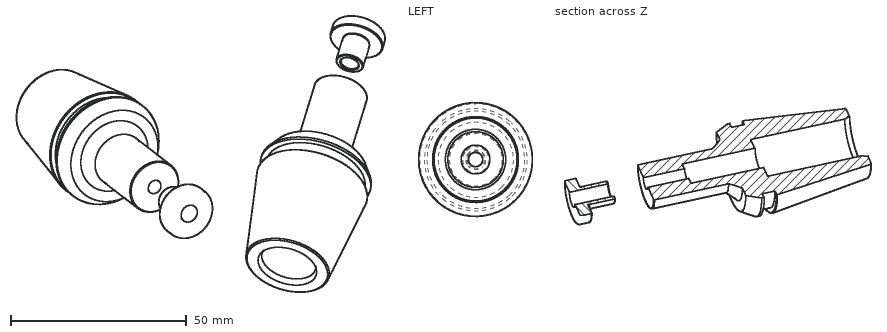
import cadquery as cq

overall_length = 85.5
edge_chamfer = 0.25

max_radius = 32.4 / 2
nose_radius = 12.2
nose_chamfer_axial = 0.3
nose_chamfer_radial = 0.4
nose_length = 29.7
groove_radius = 29.2 / 2
groove_width = 3.7
collar_land = 0.8
collar_taper_length = 4.0
collar_back_radius = 13.9
neck_length = 3.2
neck_radius = 10.7
neck_sag = 0.2
shank_radius = 15.5 / 2
housing_length = 63.6

main_bore_diameter = 15.8
mouth_diameter = 17.2
mouth_chamfer_length = 1.7
main_bore_depth = nose_length
step_bore_diameter = 8.2
step_bore_depth = 51.3
through_hole_diameter = 4.0

stem_radius = 7.95 / 2
stem_length = 7.7
relief_radius = 7.7 / 2
relief_width = 0.4
relief_shoulder_length = 0.2
flange_radius = 15.5 / 2
flange_start = 81.95
flange_front_chamfer = 0.25
flange_back_fillet = 0.8
plug_bore_diameter = 5.1
plug_mouth_chamfer = 0.25
plug_start = flange_start - relief_width - stem_length


def turn(profile):
    """Close a half profile on the X axis and revolve it."""
    return profile.close().revolve(360, (0, 0, 0), (1, 0, 0))


def bore(start, length, diameter):
    """Cylinder along X used to cut a bore."""
    return cq.Workplane("YZ").workplane(offset=start).circle(diameter / 2).extrude(length)


def make_housing_blank():
    groove_end = nose_length + groove_width
    taper_start = groove_end + collar_land
    collar_end = taper_start + collar_taper_length
    neck_end = collar_end + neck_length
    neck_middle = (
        (collar_end + neck_end) / 2,
        (neck_radius + shank_radius) / 2 - neck_sag,
    )
    profile = (
        cq.Workplane("XY")
        .moveTo(0, 0)
        .lineTo(0, nose_radius - nose_chamfer_radial)
        .lineTo(nose_chamfer_axial, nose_radius)
        .lineTo(nose_length - edge_chamfer, max_radius)
        .lineTo(nose_length, max_radius - edge_chamfer)
        .lineTo(nose_length, groove_radius)
        .lineTo(groove_end, groove_radius)
        .lineTo(groove_end, max_radius)
        .lineTo(taper_start, max_radius)
        .lineTo(collar_end, collar_back_radius)
        .lineTo(collar_end, neck_radius)
        .threePointArc(neck_middle, (neck_end, shank_radius))
        .lineTo(housing_length - edge_chamfer, shank_radius)
        .lineTo(housing_length, shank_radius - edge_chamfer)
        .lineTo(housing_length, 0)
    )
    return turn(profile)


def make_mouth_chamfer(start, outer_radius, inner_radius, length):
    """Truncated cone along X that widens the mouth of a bore."""
    profile = (
        cq.Workplane("XY")
        .moveTo(start, 0)
        .lineTo(start, outer_radius)
        .lineTo(start + length, inner_radius)
        .lineTo(start + length, 0)
    )
    return turn(profile)


def make_housing():
    mouth = make_mouth_chamfer(0, mouth_diameter / 2, main_bore_diameter / 2, mouth_chamfer_length)
    return (
        make_housing_blank()
        .cut(mouth)
        .cut(bore(0, main_bore_depth, main_bore_diameter))
        .cut(bore(0, step_bore_depth, step_bore_diameter))
        .cut(bore(0, housing_length, through_hole_diameter))
    )


def make_plug():
    stem_end = plug_start + stem_length
    profile = (
        cq.Workplane("XY")
        .moveTo(plug_start, 0)
        .lineTo(plug_start, stem_radius - edge_chamfer)
        .lineTo(plug_start + edge_chamfer, stem_radius)
        .lineTo(stem_end, stem_radius)
        .lineTo(stem_end + relief_shoulder_length, relief_radius)
        .lineTo(flange_start, relief_radius)
        .lineTo(flange_start, flange_radius - flange_front_chamfer)
        .lineTo(flange_start + flange_front_chamfer, flange_radius)
        .lineTo(overall_length - flange_back_fillet, flange_radius)
        .radiusArc((overall_length, flange_radius - flange_back_fillet), flange_back_fillet)
        .lineTo(overall_length, 0)
    )
    plug_length = overall_length - plug_start
    bore_radius = plug_bore_diameter / 2
    mouth = make_mouth_chamfer(
        plug_start, bore_radius + plug_mouth_chamfer, bore_radius, plug_mouth_chamfer
    )
    return turn(profile).cut(bore(plug_start, plug_length, plug_bore_diameter)).cut(mouth)


housing = make_housing()
plug = make_plug()
result = cq.Compound.makeCompound([housing.val(), plug.val()])